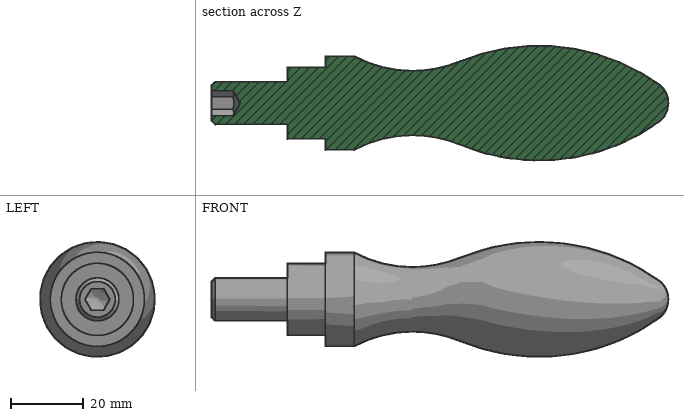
import cadquery as cq
import math

total_length = 126.5
stud_radius = 6.0
stud_length = 21.0
stud_chamfer = 1.0
shoulder_radius = 10.0
shoulder_length = 10.5
collar_radius = 13.0
collar_length = 8.0
neck_radius = 9.0
neck_position = 55.5
grip_radius = 16.0
grip_start = 69.0
grip_start_radius = 11.6
nose_length = 2.4
nose_start_radius = 5.0

socket_flats = 6.0
socket_depth = 6.0
drill_point_angle = 120.0

shoulder_end = stud_length + shoulder_length
collar_end = shoulder_end + collar_length
nose_start = total_length - nose_length


def arc_radius(length, rise):
    """Radius of an arc that leaves its crown and departs by rise over length."""
    return (length**2 + rise**2) / (2 * rise)


neck_run = grip_start - neck_position
neck_arc_radius = arc_radius(neck_run, grip_start_radius - neck_radius)
junction_angle = math.asin(neck_run / neck_arc_radius)
grip_arc_radius = (grip_radius - grip_start_radius) / (1 - math.cos(junction_angle))
grip_crown = grip_start + grip_arc_radius * math.sin(junction_angle)

collar_arc_radius = arc_radius(collar_end - neck_position, collar_radius - neck_radius)
nose_arc_radius = arc_radius(nose_start_radius, nose_length)


def make_handle():
    profile = (
        cq.Workplane("XY")
        .moveTo(0, 0)
        .lineTo(0, stud_radius - stud_chamfer)
        .lineTo(stud_chamfer, stud_radius)
        .lineTo(stud_length, stud_radius)
        .lineTo(stud_length, shoulder_radius)
        .lineTo(shoulder_end, shoulder_radius)
        .lineTo(shoulder_end, collar_radius)
        .lineTo(collar_end, collar_radius)
        .radiusArc((neck_position, neck_radius), -collar_arc_radius)
        .radiusArc((grip_start, grip_start_radius), -neck_arc_radius)
        .threePointArc((grip_crown, grip_radius), (nose_start, nose_start_radius))
        .radiusArc((total_length, 0), nose_arc_radius)
        .close()
    )
    return profile.revolve(360, (0, 0, 0), (1, 0, 0))


def make_socket():
    corner_radius = socket_flats / math.sqrt(3)
    point_depth = corner_radius / math.tan(math.radians(drill_point_angle / 2))
    hexagon = (
        cq.Workplane("YZ")
        .polygon(6, 2 * corner_radius)
        .extrude(socket_depth + point_depth)
    )
    drill = (
        cq.Workplane("XY")
        .polyline([
            (0, 0),
            (0, corner_radius),
            (socket_depth, corner_radius),
            (socket_depth + point_depth, 0),
        ])
        .close()
        .revolve(360, (0, 0, 0), (1, 0, 0))
    )
    return hexagon.intersect(drill)


result = make_handle().cut(make_socket())